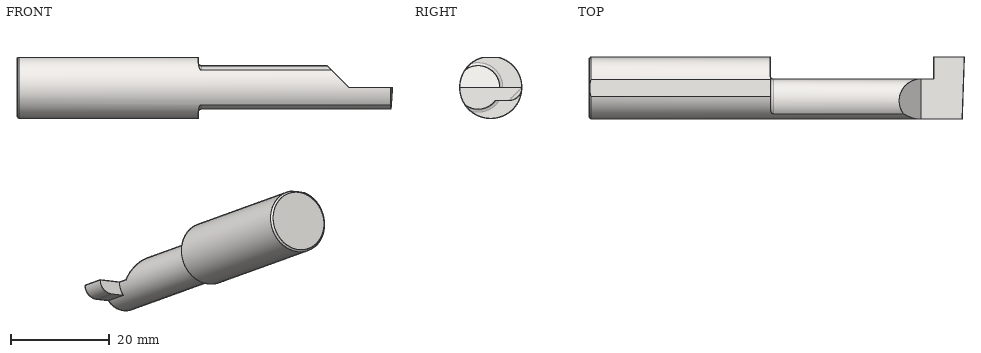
import cadquery as cq
import math

total_length = 76.2
shank_radius = 6.3
shank_length = 36.8
shank_flat_height = 6.1
end_chamfer = 0.4

neck_radius = 4.4
neck_side = 1.8
neck_centre_y = neck_side - neck_radius
shoulder_fillet = 0.6

head_start = 69.95
ramp_end = 67.35
ramp_start = ramp_end - neck_radius
end_relief_angle = 2.0
underside_relief_angle = 2.0
tooth_depth = 2.7


def rod(radius, start, length, centre_y=0.0):
    """Cylinder along X."""
    return cq.Workplane("YZ", origin=(start, centre_y, 0)).circle(radius).extrude(length)


def make_shank():
    """Round shank with a chamfered end and a narrow flat on top."""
    shank = rod(shank_radius, 0, shank_length).faces("<X").chamfer(end_chamfer)
    above_flat = cq.Workplane("XY").box(
        shank_length, 2 * shank_radius, shank_radius, centered=(False, True, False)
    )
    return shank.cut(above_flat.translate((0, 0, shank_flat_height)))


def make_neck():
    """Offset neck that flares into the shoulder through a concave fillet."""
    root_radius = neck_radius + shoulder_fillet
    arc_middle = shoulder_fillet * (1 - math.sqrt(0.5))
    profile = (
        cq.Workplane("XZ", origin=(0, neck_centre_y, 0))
        .moveTo(shank_length, 0)
        .lineTo(shank_length, root_radius)
        .threePointArc(
            (shank_length + arc_middle, neck_radius + arc_middle),
            (shank_length + shoulder_fillet, neck_radius),
        )
        .lineTo(total_length, neck_radius)
        .lineTo(total_length, 0)
        .close()
    )
    neck = profile.revolve(360, (0, 0, 0), (1, 0, 0))
    return neck.intersect(rod(shank_radius, shank_length, total_length - shank_length))


def make_head():
    """Side-projecting tooth with a quarter-round clearance below its cutting corner."""
    round_centre_y = shank_radius - tooth_depth
    round_offset = tooth_depth * math.sqrt(0.5)
    return (
        cq.Workplane("YZ", origin=(head_start, 0, 0))
        .moveTo(neck_centre_y, 0)
        .lineTo(shank_radius, 0)
        .threePointArc((round_centre_y + round_offset, -round_offset), (round_centre_y, -tooth_depth))
        .lineTo(neck_centre_y, -tooth_depth)
        .close()
        .extrude(total_length - head_start)
    )


def make_rake_cut():
    """Space above the rake face and its sloping run-out."""
    return (
        cq.Workplane("XZ")
        .moveTo(ramp_end, 0)
        .lineTo(total_length, 0)
        .lineTo(total_length, neck_radius)
        .lineTo(ramp_start, neck_radius)
        .close()
        .extrude(shank_radius, both=True)
    )


def make_end_relief():
    """Wedge that slopes the end face back from the cutting corner."""
    width = 2 * shank_radius
    setback = width * math.tan(math.radians(end_relief_angle))
    return (
        cq.Workplane("XY")
        .moveTo(total_length, shank_radius)
        .lineTo(total_length, -shank_radius)
        .lineTo(total_length - setback, -shank_radius)
        .close()
        .extrude(shank_radius, both=True)
    )


def make_underside_relief():
    """Wedge that slopes the end face back below the rake face."""
    setback = neck_radius * math.tan(math.radians(underside_relief_angle))
    return (
        cq.Workplane("XZ")
        .moveTo(total_length, 0)
        .lineTo(total_length, -neck_radius)
        .lineTo(total_length - setback, -neck_radius)
        .close()
        .extrude(shank_radius, both=True)
    )


result = (
    make_shank()
    .union(make_neck())
    .union(make_head())
    .cut(make_rake_cut())
    .cut(make_end_relief())
    .cut(make_underside_relief())
)